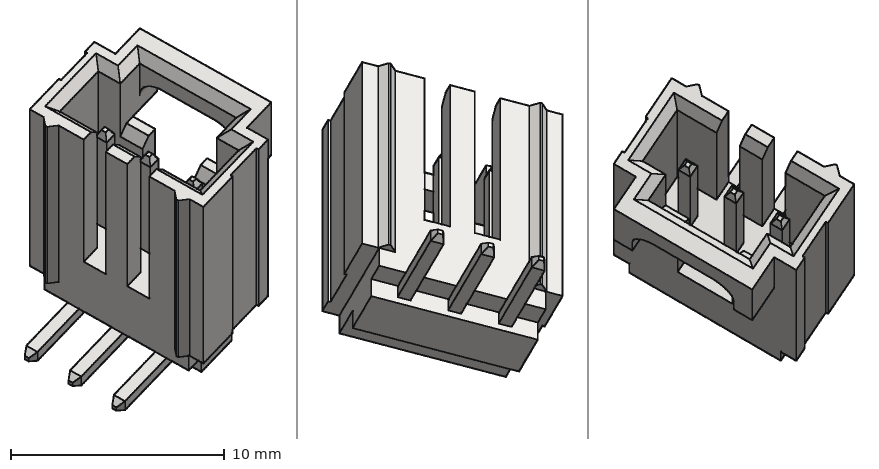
import cadquery as cq


top_z = 13.59
shroud_bottom_z = 2.19
base_bottom_z = 1.07
cavity_floor_z = 4.7
key_bottom_z = 9.75

shroud_width = 10.08
shroud_depth = 5.11
base_width = 8.37
front_y = -shroud_depth / 2
back_y = shroud_depth / 2

key_width = 7.64
key_depth = 1.93
key_back_y = back_y + key_depth
key_cavity_width = 5.6
key_cavity_back_y = back_y + 0.53

cavity_width = 8.15
cavity_front_y = front_y + 1.06
cavity_back_y = back_y - 1.0
lip_chamfer_width = 0.49
lip_chamfer_height = 0.5

front_slot_inner_x = 0.63
front_slot_outer_x = 1.9
back_gap_width = 3.02
window_width = key_cavity_width
window_top_z = 12.04
window_corner_radius = 1.28

recess_depth = 0.12
recess_back_y = back_y - 0.75
recess_front_y = back_y - 2.8

rib_x = 3.8
rib_root_width = 0.87
rib_tip_width = 0.11
rib_height = 0.38

foot_front_y = -1.55
foot_back_y = 0.85
pin_count = 3
pin_pitch = 2.54
pin_size = 0.65
pin_tip_size = 0.25
pin_taper_length = 0.41
pin_top_z = 11.42
tail_z = 0.69
tail_end_y = front_y - 3.64


def box(x_min, x_max, y_min, y_max, z_min, z_max):
    """Block between the given limits."""
    size = (x_max - x_min, y_max - y_min, z_max - z_min)
    return cq.Workplane("XY").box(*size, centered=False).translate((x_min, y_min, z_min))


def centred_box(width, y_min, y_max, z_min, z_max):
    """Block of the given width, symmetric about X = 0."""
    return box(-width / 2, width / 2, y_min, y_max, z_min, z_max)


def lip_chamfer(width, y_min, y_max, z):
    """Cutter that flares a rectangular opening outwards up to height z."""
    return (
        cq.Workplane("XY", origin=(0, (y_min + y_max) / 2, z - lip_chamfer_height))
        .rect(width, y_max - y_min)
        .workplane(offset=lip_chamfer_height)
        .rect(width + 2 * lip_chamfer_width, y_max - y_min + 2 * lip_chamfer_width)
        .loft(ruled=True)
    )


def make_housing():
    """Solid outline of the shroud, key box, base and foot."""
    shroud = centred_box(shroud_width, front_y, back_y, shroud_bottom_z, top_z)
    key = centred_box(key_width, back_y, key_back_y, key_bottom_z, top_z)
    base = centred_box(base_width, front_y, back_y, base_bottom_z, shroud_bottom_z)
    foot = centred_box(base_width, foot_front_y, foot_back_y, 0, base_bottom_z)
    return shroud.union(key).union(base).union(foot)


def make_rib(x):
    """Vertical guide rib with a blunt V section."""
    return (
        cq.Workplane("XY", origin=(x, front_y, shroud_bottom_z))
        .moveTo(-rib_root_width / 2, 0)
        .lineTo(-rib_tip_width / 2, -rib_height)
        .lineTo(rib_tip_width / 2, -rib_height)
        .lineTo(rib_root_width / 2, 0)
        .close()
        .extrude(top_z - shroud_bottom_z)
    )


def cut_cavity(body):
    """Hollow out the shroud and the key box, with flared lips."""
    main = centred_box(cavity_width, cavity_front_y, cavity_back_y, cavity_floor_z, top_z)
    key = centred_box(key_cavity_width, cavity_front_y, key_cavity_back_y, key_bottom_z, top_z)
    main_lip = lip_chamfer(cavity_width, cavity_front_y, cavity_back_y, top_z)
    key_lip = lip_chamfer(key_cavity_width, cavity_front_y, key_cavity_back_y, top_z)
    back_wall = centred_box(key_cavity_width, cavity_back_y, back_y, cavity_floor_z, key_bottom_z)
    flare = lip_chamfer(cavity_width, cavity_front_y, cavity_back_y, key_bottom_z)
    back_wall_lip = flare.intersect(back_wall)
    return body.cut(main).cut(key).cut(main_lip).cut(key_lip).cut(back_wall_lip)


def cut_front_slots(body):
    """Two vertical slots that leave a prong in the middle of the front wall."""
    for side in (-1, 1):
        inner_x, outer_x = sorted((side * front_slot_inner_x, side * front_slot_outer_x))
        body = body.cut(box(inner_x, outer_x, front_y, cavity_front_y, cavity_floor_z, top_z))
    return body


def cut_side_recesses(body):
    """Shallow full-height recess in each side wall."""
    for side in (-1, 1):
        wall_x = side * shroud_width / 2
        x_min, x_max = sorted((wall_x, wall_x - side * recess_depth))
        body = body.cut(box(x_min, x_max, recess_front_y, recess_back_y, shroud_bottom_z, top_z))
    return body


def cut_back_openings(body):
    """Gap in the back wall under the key box, and the arched window in the back of the key box."""
    gap = centred_box(back_gap_width, cavity_back_y, back_y, cavity_floor_z, key_bottom_z)
    window = centred_box(window_width, key_cavity_back_y, key_back_y, key_bottom_z, window_top_z)
    return body.cut(gap).cut(window.edges("|Y and >Z").fillet(window_corner_radius))


def make_post(plane, origin, length):
    """Square bar with a tapered tip, running along the normal of the plane."""
    straight_length = length - pin_taper_length
    bar = cq.Workplane(plane, origin=origin).rect(pin_size, pin_size).extrude(straight_length)
    tip = (
        cq.Workplane(plane, origin=origin)
        .workplane(offset=straight_length)
        .rect(pin_size, pin_size)
        .workplane(offset=pin_taper_length)
        .rect(pin_tip_size, pin_tip_size)
        .loft(ruled=True)
    )
    return bar.union(tip)


def make_pin(x):
    """Right-angle pin: a post standing in the cavity and a tail leaving the front of the foot."""
    post = make_post("XY", (x, 0, tail_z), pin_top_z - tail_z)
    tail = make_post("XZ", (x, 0, tail_z), -tail_end_y)
    return post.union(tail)


result = make_housing()
for side in (-1, 1):
    result = result.union(make_rib(side * rib_x))
result = cut_cavity(result)
result = cut_front_slots(result)
result = cut_side_recesses(result)
result = cut_back_openings(result)
for index in range(pin_count):
    pin_x = (index - (pin_count - 1) / 2) * pin_pitch
    result = result.union(make_pin(pin_x))